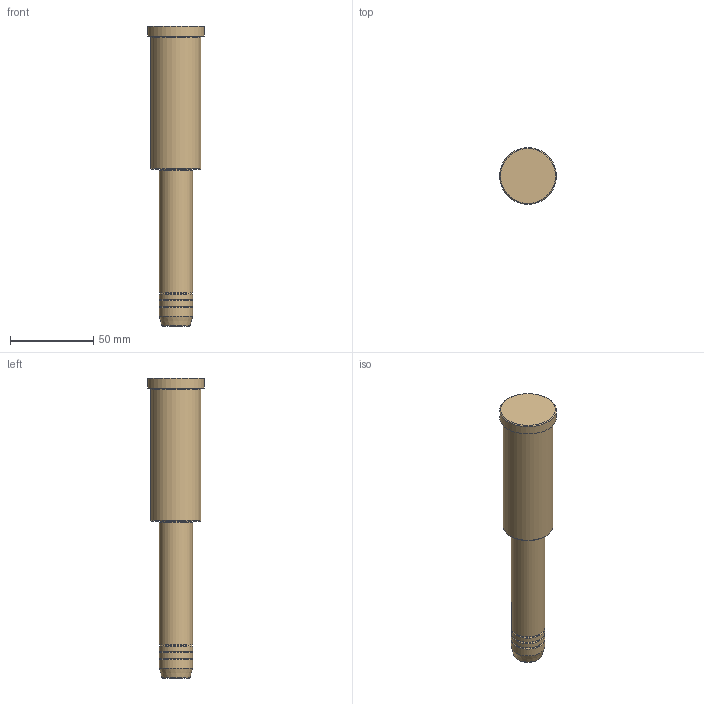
import cadquery as cq
import math

total_length = 180.0
head_height = 6.0
body_length = 80.0
neck_length = 1.0
nose_length = 6.0

head_diameter = 34.0
body_diameter = 30.0
shaft_diameter = 20.0
neck_diameter = 19.0

head_chamfer = 0.5
body_chamfer = 0.5
head_corner_fillet = 0.7
nose_tip_fillet = 0.5
nose_half_angle = 15.0

groove_count = 3
groove_pitch = 4.0
groove_width = 1.0
groove_depth = 0.5
lowest_groove_z = 11.5

head_bottom_z = total_length - head_height
body_bottom_z = head_bottom_z - body_length
shaft_top_z = body_bottom_z - neck_length
shaft_radius = shaft_diameter / 2
nose_tip_radius = shaft_radius - nose_length * math.tan(math.radians(nose_half_angle))


def cylinder(diameter, bottom_z, top_z):
    """Cylinder on the Z axis between two levels."""
    base = cq.Workplane("XY").workplane(offset=bottom_z)
    return base.circle(diameter / 2).extrude(top_z - bottom_z)


def revolve_profile(points):
    """Closed (radius, z) outline turned once around the Z axis."""
    outline = cq.Workplane("XZ").polyline(points).close()
    return outline.revolve(360, (0, 0, 0), (0, 1, 0))


def make_headed_body():
    """Flanged head on the thick body, with a fillet in the corner under the head."""
    head = cylinder(head_diameter, head_bottom_z, total_length)
    body = cylinder(body_diameter, body_bottom_z, head_bottom_z)
    corner = cq.selectors.RadiusNthSelector(0)
    headed_body = head.union(body)
    headed_body = headed_body.faces(">Z").edges().chamfer(head_chamfer)
    headed_body = headed_body.faces("<Z[1]").edges(corner).fillet(head_corner_fillet)
    return headed_body.faces("<Z").edges().chamfer(body_chamfer)


def make_groove(middle_z):
    """V-shaped ring that cuts one groove into the shaft."""
    return revolve_profile([
        (shaft_radius, middle_z - groove_width / 2),
        (shaft_radius - groove_depth, middle_z),
        (shaft_radius, middle_z + groove_width / 2),
    ])


def make_shaft():
    """Grooved shaft with the narrower neck that joins it to the body."""
    shaft = cylinder(shaft_diameter, nose_length, shaft_top_z)
    neck = cylinder(neck_diameter, shaft_top_z, body_bottom_z)
    shaft = shaft.union(neck)
    for index in range(groove_count):
        shaft = shaft.cut(make_groove(lowest_groove_z + index * groove_pitch))
    return shaft


def make_nose():
    """Tapered lead-in below the shaft, rounded around its flat tip."""
    nose = revolve_profile([
        (0, 0),
        (nose_tip_radius, 0),
        (shaft_radius, nose_length),
        (0, nose_length),
    ])
    return nose.faces("<Z").edges().fillet(nose_tip_fillet)


result = make_headed_body().union(make_shaft()).union(make_nose())